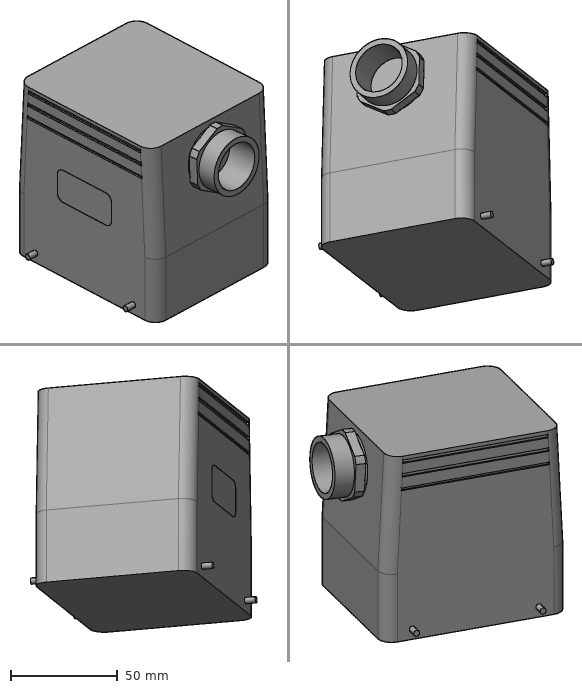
import cadquery as cq
import math

BODY_LENGTH = 93.5
BODY_DEPTH = 79.1
BODY_HEIGHT = 95.0
SKIRT_HEIGHT = 35.0
TOP_INSET = 3.0
CORNER_RADIUS = 7.0

GROOVES = [(91.3, 1.7), (84.4, 1.7), (77.4, 1.3)]
GROOVE_DEPTH = 1.0

PLATE_LENGTH = 35.6
PLATE_HEIGHT = 17.8
PLATE_RADIUS = 3.8
PLATE_Z = 50.2
PLATE_DEPTH = 0.1

PIN_DIAMETER = 3.0
PIN_SPACING = 64.4
PIN_Z = 5.3
PIN_TIP_SPAN = 89.5

OVERALL_LENGTH = 108.6
GLAND_Z = 76.0
COLLAR_DIAMETER = 31.0
COLLAR_LENGTH = 1.5
NUT_ACROSS_FLATS = 32.3
NUT_ROUND_DIAMETER = 35.2
NUT_THICKNESS = 5.0
SLEEVE_DIAMETER = 30.0
BORE_DIAMETER = 24.2

half_length = BODY_LENGTH / 2
half_depth = BODY_DEPTH / 2
taper_height = BODY_HEIGHT - SKIRT_HEIGHT
taper_angle = math.atan2(TOP_INSET, taper_height)


def wall_x(z):
    """Half length of the body at a height z in the tapered part."""
    return half_length - (z - SKIRT_HEIGHT) * math.tan(taper_angle)


def make_body():
    outline = [
        (-half_length, 0),
        (half_length, 0),
        (half_length, SKIRT_HEIGHT),
        (half_length - TOP_INSET, BODY_HEIGHT),
        (-half_length + TOP_INSET, BODY_HEIGHT),
        (-half_length, SKIRT_HEIGHT),
    ]
    body = cq.Workplane("XZ").polyline(outline).close().extrude(half_depth, both=True)
    upright_edges = body.faces("<Y or >Y").edges("not (#Z)")
    return body.newObject(upright_edges.vals()).fillet(CORNER_RADIUS)


def make_groove(bottom, width):
    """Bar that cuts one groove in the -Y face, ending where the corner rounds begin."""
    top = bottom + width
    bottom_end = wall_x(bottom) - CORNER_RADIUS
    top_end = wall_x(top) - CORNER_RADIUS
    profile = [(-bottom_end, bottom), (bottom_end, bottom), (top_end, top), (-top_end, top)]
    return (
        cq.Workplane("XZ", origin=(0, -half_depth, 0))
        .polyline(profile)
        .close()
        .extrude(-GROOVE_DEPTH)
    )


def make_plate_recess():
    return (
        cq.Workplane("XZ", origin=(0, -half_depth, PLATE_Z))
        .rect(PLATE_LENGTH, PLATE_HEIGHT)
        .extrude(-PLATE_DEPTH)
        .edges("|Y")
        .fillet(PLATE_RADIUS)
    )


def make_pins():
    return (
        cq.Workplane("XZ", origin=(0, 0, PIN_Z))
        .pushPoints([(-PIN_SPACING / 2, 0), (PIN_SPACING / 2, 0)])
        .circle(PIN_DIAMETER / 2)
        .extrude(PIN_TIP_SPAN / 2, both=True)
    )


def make_gland():
    axis = cq.Vector(math.cos(taper_angle), 0, math.sin(taper_angle))
    root = cq.Vector(wall_x(GLAND_Z), 0, GLAND_Z)
    end_x = OVERALL_LENGTH - half_length
    tilt_reach = SLEEVE_DIAMETER / 2 * math.sin(taper_angle)
    gland_length = (end_x - root.x - tilt_reach) / math.cos(taper_angle)

    def station(distance):
        """Workplane across the gland axis at a distance from the wall."""
        return cq.Workplane(cq.Plane(root + axis * distance, (0, 1, 0), axis))

    collar = station(-COLLAR_LENGTH).circle(COLLAR_DIAMETER / 2).extrude(2 * COLLAR_LENGTH)
    sleeve = station(0).circle(SLEEVE_DIAMETER / 2).extrude(gland_length)
    hexagon = (
        station(COLLAR_LENGTH)
        .polygon(6, NUT_ACROSS_FLATS, circumscribed=True)
        .extrude(NUT_THICKNESS)
    )
    nut = hexagon.intersect(
        station(COLLAR_LENGTH).circle(NUT_ROUND_DIAMETER / 2).extrude(NUT_THICKNESS)
    )
    bore = station(0).circle(BORE_DIAMETER / 2).extrude(gland_length)
    return collar.union(sleeve).union(nut).cut(bore)


hood = make_body()
for groove_bottom, groove_width in GROOVES:
    groove = make_groove(groove_bottom, groove_width)
    hood = hood.cut(groove).cut(groove.mirror("XZ"))
hood = hood.cut(make_plate_recess())

result = hood.union(make_pins()).union(make_gland())